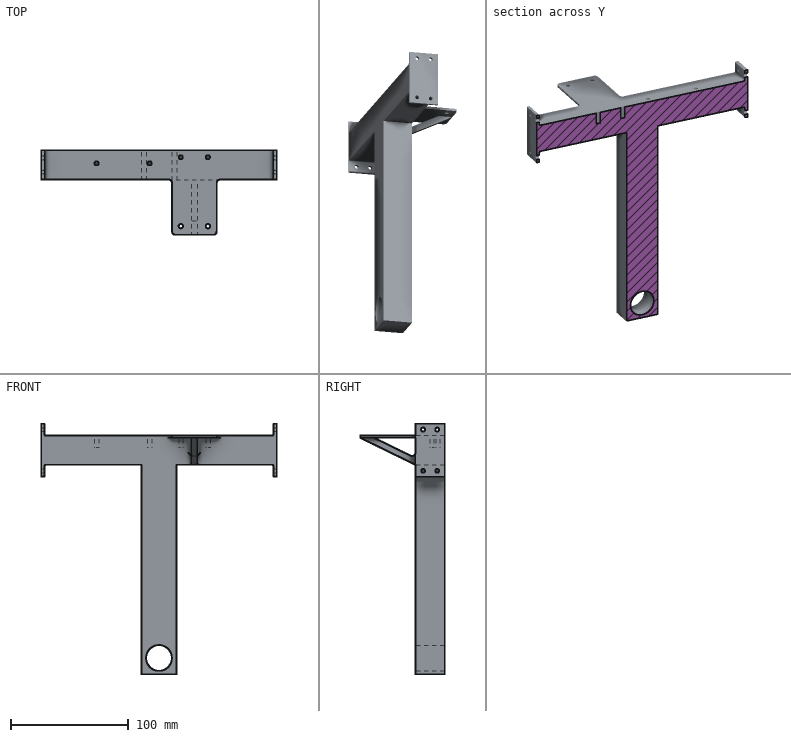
import cadquery as cq

length = 200.0
total_height = 212.8
total_depth = 71.95

beam_depth = 25.0
beam_height = 25.0
middle_x = length / 2

end_plate_thickness = 3.0
end_plate_overhang = 10.0
end_plate_height = beam_height + 2 * end_plate_overhang
end_plate_rim_radius = 1.0
end_plate_root_radius = 1.0
end_hole_diameter = 3.26
end_hole_spacing_y = 12.0
end_hole_spacing_z = 35.0

column_width = 30.0
column_bottom_z = end_plate_overhang - total_height
column_bore_diameter = 21.71
column_bore_height = 14.0

shelf_middle_x = 130.0
shelf_width = 38.0
shelf_reach = total_depth - beam_depth
shelf_thickness = 2.0
shelf_corner_radius = 3.0
shelf_hole_diameter = 3.58
shelf_hole_spacing_x = 23.0
shelf_hole_spacing_y = 58.5
shelf_back_hole_y = 19.0

beam_hole_diameter = 3.58
beam_hole_xs = (47.0, 92.0)
beam_hole_y = 13.8
blind_hole_depth = 10.0

strut_width = 5.0
strut_length_on_shelf = 12.0
strut_root_radius = 3.0


def box_between(x_range, y_range, z_range):
    """Box given by its lower and upper limit along each axis."""
    lows, highs = zip(x_range, y_range, z_range)
    sizes = [high - low for low, high in zip(lows, highs)]
    return cq.Workplane("XY").box(*sizes, centered=False).translate(lows)


def make_beam():
    """Crossbeam with an upright plate across each end."""
    beam = box_between((0, length), (0, beam_depth), (-beam_height, 0))
    plate_z = (end_plate_overhang - end_plate_height, end_plate_overhang)
    for inner_x, outer_x in ((end_plate_thickness, 0), (length - end_plate_thickness, length)):
        x_range = (min(inner_x, outer_x), max(inner_x, outer_x))
        beam = beam.union(box_between(x_range, (0, beam_depth), plate_z))
        for root_z, rim_z in zip((-beam_height, 0), plate_z):
            for edge_z, radius in ((root_z, end_plate_root_radius), (rim_z, end_plate_rim_radius)):
                edge_middle = (inner_x, beam_depth / 2, edge_z)
                beam = beam.edges(cq.selectors.NearestToPointSelector(edge_middle)).fillet(radius)
    return beam


def make_column():
    """Square-cornered column reaching down from the beam."""
    half_width = column_width / 2
    return box_between(
        (middle_x - half_width, middle_x + half_width), (0, beam_depth), (column_bottom_z, 0)
    )


def side_prism(outline, width):
    """Prism of the given width under the shelf middle, from an outline in Y and Z."""
    prism = cq.Workplane("YZ").polyline(outline).close().extrude(width / 2, both=True)
    return prism.translate((shelf_middle_x, 0, 0))


def make_strut():
    """Slanted bar from the lower front edge of the beam to the shelf tip, flared at its root."""
    slope = (beam_height - shelf_thickness) / shelf_reach
    root_top_z = strut_length_on_shelf * slope - beam_height
    flare_width = strut_width + 2 * strut_root_radius

    wall = side_prism(
        [(0, 0), (beam_depth, 0), (beam_depth, -2 * beam_height), (0, -2 * beam_height)],
        2 * flare_width,
    )
    blank = side_prism(
        [
            (0, root_top_z),
            (strut_length_on_shelf - shelf_reach, -shelf_thickness),
            (-shelf_reach, -shelf_thickness),
            (-shelf_reach, -2 * beam_height),
            (0, -2 * beam_height),
        ],
        strut_width,
    )
    root_edges = cq.selectors.BoxSelector(
        (shelf_middle_x - flare_width / 2, -strut_root_radius, -2 * beam_height),
        (shelf_middle_x + flare_width / 2, strut_root_radius, 0),
    )
    flared = wall.union(blank).edges(root_edges).edges("#Y").fillet(strut_root_radius)

    envelope = side_prism(
        [(0, -beam_height), (-shelf_reach, -shelf_thickness), (0, -shelf_thickness)], flare_width
    )
    return flared.intersect(envelope)


def add_shelf(body):
    """Thin shelf with rounded tip corners and rounded inner corners."""
    left_x = shelf_middle_x - shelf_width / 2
    right_x = shelf_middle_x + shelf_width / 2
    shelf = box_between((left_x, right_x), (-shelf_reach, beam_depth), (-shelf_thickness, 0))
    body = body.union(shelf)
    for corner_x in (left_x, right_x):
        for corner_y in (-shelf_reach, 0):
            edge_middle = (corner_x, corner_y, -shelf_thickness / 2)
            corner = cq.selectors.NearestToPointSelector(edge_middle)
            body = body.edges(corner).fillet(shelf_corner_radius)
    return body


def holes_down(points, diameter):
    """Cutters for vertical holes sunk from the top of the beam and shelf."""
    return cq.Workplane("XY").pushPoints(points).circle(diameter / 2).extrude(-blind_hole_depth)


def cut_shelf_holes(body):
    """Two holes through the shelf tip and two blind ones behind them in the beam."""
    half_spacing = shelf_hole_spacing_x / 2
    points = [
        (shelf_middle_x + side * half_spacing, hole_y)
        for side in (-1, 1)
        for hole_y in (shelf_back_hole_y, shelf_back_hole_y - shelf_hole_spacing_y)
    ]
    return body.cut(holes_down(points, shelf_hole_diameter))


def cut_beam_holes(body):
    """Pair of blind holes in the top of the beam."""
    points = [(hole_x, beam_hole_y) for hole_x in beam_hole_xs]
    return body.cut(holes_down(points, beam_hole_diameter))


def cut_end_plate_holes(body):
    """Four holes through each end plate, above and below the beam."""
    for plate_x in (0, length - end_plate_thickness):
        cutters = (
            cq.Workplane("YZ", origin=(plate_x, beam_depth / 2, -beam_height / 2))
            .rarray(end_hole_spacing_y, end_hole_spacing_z, 2, 2)
            .circle(end_hole_diameter / 2)
            .extrude(end_plate_thickness)
        )
        body = body.cut(cutters)
    return body


def cut_column_bore(body):
    """Large hole through the foot of the column."""
    bore_z = column_bottom_z + column_bore_height
    cutter = (
        cq.Workplane("XZ", origin=(middle_x, 0, bore_z))
        .circle(column_bore_diameter / 2)
        .extrude(-beam_depth)
    )
    return body.cut(cutter)


result = make_beam().union(make_column())
result = add_shelf(result)
result = result.union(make_strut())
result = cut_shelf_holes(result)
result = cut_beam_holes(result)
result = cut_end_plate_holes(result)
result = cut_column_bore(result)